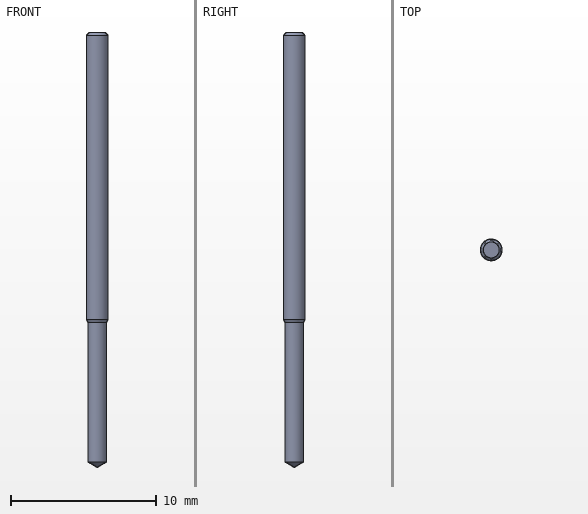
import cadquery as cq

total_length = 30.0
barrel_radius = 1.5 / 2
plunger_radius = 1.3 / 2

plunger_length = 10.0
tip_height = 0.4
top_chamfer = 0.2
lower_taper_height = 0.2


def revolve_profile(points):
    """Solid of revolution about Z from (radius, height) points."""
    return cq.Workplane("XZ").polyline(points).close().revolve(360, (0, 0), (0, 1))


def make_barrel():
    """Cylinder with a chamfered top and a tapered lower end."""
    return revolve_profile([
        (0, plunger_length),
        (plunger_radius, plunger_length),
        (barrel_radius, plunger_length + lower_taper_height),
        (barrel_radius, total_length - top_chamfer),
        (barrel_radius - top_chamfer, total_length),
        (0, total_length),
    ])


def make_plunger():
    """Thinner cylinder ending in a conical point, seated against the barrel."""
    return revolve_profile([
        (0, 0),
        (plunger_radius, tip_height),
        (plunger_radius, plunger_length),
        (0, plunger_length),
    ])


barrel = make_barrel()
plunger = make_plunger()

result = cq.Compound.makeCompound([barrel.val(), plunger.val()])